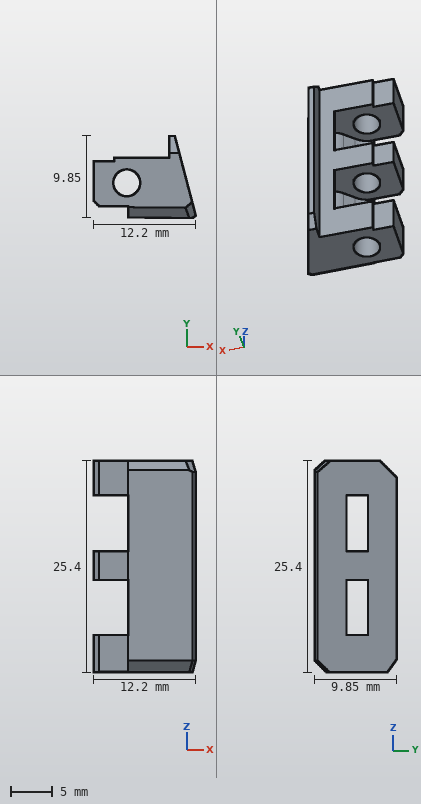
import cadquery as cq
import math

width = 12.21
depth = 9.85
height = 25.35

plate_left = 4.1
plate_taper = 0.08
knuckle_front = 1.42
knuckle_back = 6.82
knuckle_chamfer = 0.65
step_left = 2.45
step_back = 7.25
fin_left = 9.02
fin_tip_width = 0.68
tip_chamfer_x = 0.38
tip_chamfer_y = 0.33

hole_x = 3.95
hole_y = 4.23
hole_diameter = 3.2

gap_spans = [(4.49, 11.05), (14.5, 21.15)]
clearance_radius = hole_y - knuckle_front
slot_front = 3.83
slot_back = 6.39
slot_mouth = 8.46
entry_radius = 1.95
lip_left = 7.22

front_top_bevel = (1.25, 1.15)
front_bottom_bevel = (1.45, 1.45)
fin_top_bevel = (2.05, 2.05)
fin_bottom_bevel = (1.15, 1.6)
tip_top_bevel = (1.5, 1.4)
tip_bottom_bevel = (1.37, 1.45)

margin = 2.53


def make_body():
    return (
        cq.Workplane("XY")
        .polyline([
            (0, knuckle_back),
            (0, knuckle_front + knuckle_chamfer),
            (knuckle_chamfer, knuckle_front),
            (plate_left, knuckle_front),
            (plate_left, plate_taper),
            (width - tip_chamfer_x, 0),
            (width, tip_chamfer_y),
            (fin_left + fin_tip_width, depth),
            (fin_left, depth),
            (fin_left, step_back),
            (step_left, step_back),
            (step_left, knuckle_back),
        ])
        .close()
        .extrude(height)
    )


def arc_point(center, radius, degrees):
    angle = math.radians(degrees)
    return (center[0] + radius * math.cos(angle), center[1] + radius * math.sin(angle))


def make_gap(bottom, top):
    """Pin clearance that narrows through a 45 degree flat into the slot."""
    hole_center = (hole_x, hole_y)
    front_entry = (slot_mouth, slot_front - entry_radius)
    back_entry = (slot_mouth, slot_back + entry_radius)
    lip_angle = 180 + math.degrees(math.acos((slot_mouth - lip_left) / entry_radius))
    start_angle = -math.degrees(math.acos((plate_left - hole_x) / clearance_radius))
    outline = (
        cq.Workplane("XY", origin=(0, 0, bottom))
        .moveTo(-margin, knuckle_front - margin)
        .lineTo(plate_left, knuckle_front - margin)
        .lineTo(*arc_point(hole_center, clearance_radius, start_angle))
        .threePointArc(
            arc_point(hole_center, clearance_radius, (start_angle - 45) / 2),
            arc_point(hole_center, clearance_radius, -45),
        )
        .lineTo(*arc_point(front_entry, entry_radius, 135))
        .threePointArc(arc_point(front_entry, entry_radius, 112.5), (slot_mouth, slot_front))
        .lineTo(width + margin, slot_front)
        .lineTo(width + margin, slot_back)
        .lineTo(slot_mouth, slot_back)
        .threePointArc(
            arc_point(back_entry, entry_radius, (270 + lip_angle) / 2),
            arc_point(back_entry, entry_radius, lip_angle),
        )
        .lineTo(lip_left, step_back + margin)
        .lineTo(-margin, step_back + margin)
        .close()
    )
    return outline.extrude(top - bottom)


def bevel_cutter(edge_x, edge_y, outward, bevel, at_top):
    """Long wedge along an end edge; outward is the horizontal direction it faces."""
    reach, drop = bevel
    end_z = height if at_top else 0
    z_sign = 1 if at_top else -1
    slope = drop / reach
    plane = cq.Plane(
        origin=(edge_x, edge_y, end_z),
        xDir=(outward[0], outward[1], 0),
        normal=(outward[1], -outward[0], 0),
    )
    return (
        cq.Workplane(plane)
        .polyline([
            (-reach - margin, z_sign * slope * margin),
            (margin, -z_sign * (drop + slope * margin)),
            (margin, z_sign * slope * margin),
        ])
        .close()
        .extrude(2 * width, both=True)
    )


result = make_body()

pin_hole = (
    cq.Workplane("XY")
    .center(hole_x, hole_y)
    .circle(hole_diameter / 2)
    .extrude(height)
)
result = result.cut(pin_hole)

for gap_bottom, gap_top in gap_spans:
    result = result.cut(make_gap(gap_bottom, gap_top))

tip_length = math.hypot(tip_chamfer_x, tip_chamfer_y)
tip_outward = (tip_chamfer_y / tip_length, -tip_chamfer_x / tip_length)
taper_run = width - tip_chamfer_x - plate_left
taper_length = math.hypot(taper_run, plate_taper)
front_outward = (-plate_taper / taper_length, -taper_run / taper_length)
tip_x = width - tip_chamfer_x
bevels = [
    (tip_x, 0, front_outward, front_top_bevel, True),
    (tip_x, 0, front_outward, front_bottom_bevel, False),
    (fin_left, depth, (0, 1), fin_top_bevel, True),
    (fin_left, depth, (0, 1), fin_bottom_bevel, False),
    (tip_x, 0, tip_outward, tip_top_bevel, True),
    (tip_x, 0, tip_outward, tip_bottom_bevel, False),
]
for bevel in bevels:
    result = result.cut(bevel_cutter(*bevel))